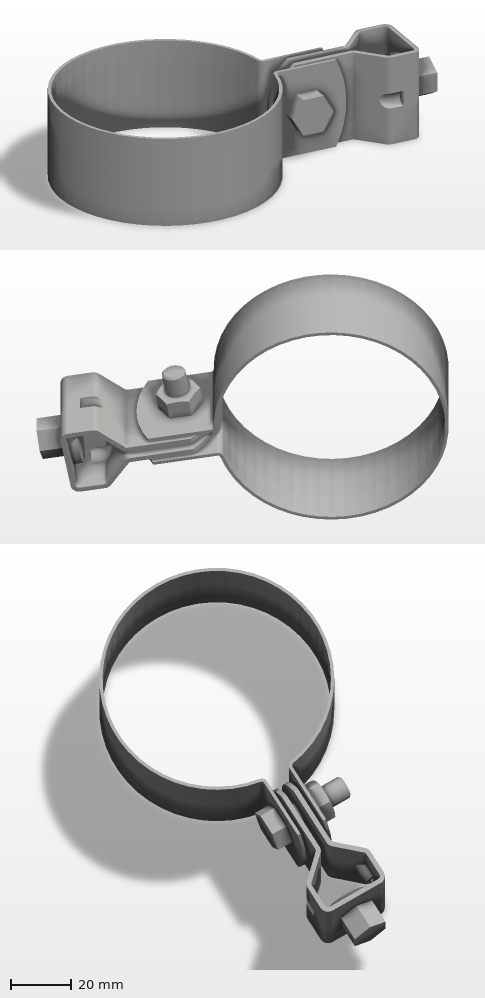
import cadquery as cq
import math

width = 32.0
overall_length = 137.6

ring_radius = 39.1
band_thickness = 1.1
ear_half_span = 5.5
ear_bend = 1.0
ear_end = 64.8
ear_tip_radius = 35.5

fitting_end = overall_length - ring_radius
fitting_hex_length = 8.8
bracket_top = fitting_end - fitting_hex_length
sheet = 1.7
head_half_width = 12.2
leg_half_span = 3.0
shoulder_y = 77.4
taper_angle = 47.0
taper_end_y = shoulder_y - (head_half_width - leg_half_span) / math.tan(math.radians(taper_angle))
head_bend = 2.9
inside_bend = 1.1
outside_bend = inside_bend + sheet
leg_end = 39.5
leg_tip_radius = 20.6

groove_radius = 2.8
tab_radius = 4.5
tab_axis_x = head_half_width + 0.3
tab_start_y = 82.7
tab_end_y = taper_end_y

bolt_y = 49.8
bolt_diameter = 8.0
tip_diameter = 6.6
tip_x = -19.8
bolt_hex_flats = 13.1
nut_height = 6.3
head_height = 5.4
nut_bevel_height = 0.4

fitting_hex_flats = 12.0
neck_diameter = 10.5
flange_diameter = 20.0
flange_thickness = 3.0


def across_corners(flats):
    """Width across corners of a hexagon with the given width across flats."""
    return flats / math.cos(math.radians(30))


def box(x_size, y_start, y_end):
    """Block centred on X and Z that spans y_start to y_end and the full width."""
    return cq.Workplane("XY").box(x_size, y_end - y_start, width).translate((0, (y_start + y_end) / 2, 0))


def fillet_corner(solid, x, y, radius):
    """Round the upright edges at (x, y) and at its mirror image (-x, y)."""
    for side in (-1, 1):
        corner = cq.selectors.NearestToPointSelector((side * x, y, 0))
        solid = solid.edges("|Z").edges(corner).fillet(radius)
    return solid


def hollow(solid, thickness):
    """Remove the inside of an extruded outline, leaving a wall of even thickness."""
    core = solid.faces("<Z").wires().toPending().offset2D(-thickness).extrude(width, combine=False)
    core = core.translate((0, 0, -width / 2 - core.val().BoundingBox().zmin))
    return solid.cut(core)


def cylinder_x(diameter, x_start, x_end):
    """Cylinder on the bolt axis."""
    plane = cq.Workplane("YZ", origin=(x_start, bolt_y, 0))
    return plane.circle(diameter / 2).extrude(x_end - x_start)


def rounded_end(y_tip, radius, direction):
    """Disc along X whose rim passes through y_tip; direction is +1 or -1, the way the tip points."""
    centre_y = y_tip - direction * radius
    plane = cq.Workplane("YZ", origin=(0, centre_y, 0))
    return plane.circle(radius).extrude(2 * head_half_width, both=True)


def bolt_hexagon(x_start, x_end):
    """Hexagonal prism on the bolt axis, with flats facing up and down."""
    plane = cq.Workplane("YZ", origin=(x_start, bolt_y, 0))
    return plane.polygon(6, across_corners(bolt_hex_flats)).extrude(x_end - x_start)


def fitting_cylinder(diameter, y_top, length):
    """Cylinder on the fitting axis, from y_top downwards along Y."""
    return cq.Workplane("XZ", origin=(0, y_top, 0)).circle(diameter / 2).extrude(length)


def make_band():
    ring = cq.Workplane("XY").circle(ring_radius).extrude(width / 2, both=True)
    ears = box(2 * ear_half_span, 0, ear_end + band_thickness)
    junction_y = math.sqrt(ring_radius**2 - ear_half_span**2)
    outline = fillet_corner(ring.union(ears), ear_half_span, junction_y, ear_bend)
    band = hollow(outline, band_thickness)
    ear_zone = box(2 * ear_half_span, ring_radius, ear_end + band_thickness)
    tips = ear_zone.cut(rounded_end(ear_end, ear_tip_radius, 1))
    hole = cylinder_x(bolt_diameter, -ear_half_span, ear_half_span)
    return band.cut(tips).cut(hole)


def bracket_outline():
    """Solid outline of the bracket, longer than its legs by an end wall that the tip rounding removes."""
    half = [
        (head_half_width, bracket_top),
        (head_half_width, shoulder_y),
        (leg_half_span, taper_end_y),
        (leg_half_span, leg_end - sheet),
    ]
    mirrored = [(-x, y) for x, y in reversed(half)]
    outline = cq.Workplane("XY").polyline(half + mirrored).close().extrude(width / 2, both=True)
    bends = [
        (head_half_width, bracket_top, head_bend),
        (head_half_width, shoulder_y, outside_bend),
        (leg_half_span, taper_end_y, inside_bend),
    ]
    for x, y, radius in bends:
        outline = fillet_corner(outline, x, y, radius)
    return outline


def make_bracket():
    outline = bracket_outline()
    bracket = hollow(outline, sheet)
    for side in (-1, 1):
        plane = cq.Workplane("XZ", origin=(side * tab_axis_x, tab_start_y, 0))
        tab = plane.circle(tab_radius).extrude(tab_start_y - tab_end_y).intersect(outline)
        groove = plane.circle(groove_radius).extrude(tab_start_y - tab_end_y)
        bracket = bracket.union(tab).cut(groove)
    leg_zone = box(2 * leg_half_span, leg_end - sheet, bolt_y)
    tips = leg_zone.cut(rounded_end(leg_end, leg_tip_radius, -1))
    bolt_hole = cylinder_x(bolt_diameter, -leg_half_span, leg_half_span)
    neck_hole = fitting_cylinder(neck_diameter, bracket_top, sheet)
    flange_seat = fitting_cylinder(flange_diameter, bracket_top - sheet, flange_thickness)
    return bracket.cut(tips).cut(bolt_hole).cut(neck_hole).cut(flange_seat)


def make_bolt():
    shank = cylinder_x(bolt_diameter, tip_x, ear_half_span)
    shank = shank.faces("<X").chamfer((bolt_diameter - tip_diameter) / 2)
    return shank.union(bolt_hexagon(ear_half_span, ear_half_span + head_height))


def make_nut():
    seat_x = -ear_half_span
    free_x = seat_x - nut_height
    corner_radius = across_corners(bolt_hex_flats) / 2
    half_profile = [
        (seat_x, 0),
        (seat_x, corner_radius),
        (free_x + nut_bevel_height, corner_radius),
        (free_x, bolt_hex_flats / 2),
        (free_x, 0),
    ]
    envelope = cq.Workplane("XY").polyline(half_profile).close().revolve(360, (0, 0, 0), (1, 0, 0))
    nut = bolt_hexagon(free_x, seat_x).intersect(envelope.translate((0, bolt_y, 0)))
    return nut.cut(cylinder_x(bolt_diameter, free_x, seat_x))


def make_fitting():
    corners = across_corners(fitting_hex_flats)
    seat = cq.Workplane("XZ", origin=(0, bracket_top, 0)).transformed(rotate=(0, 0, 90))
    hexagonal_end = seat.polygon(6, corners).extrude(-fitting_hex_length)
    neck = fitting_cylinder(neck_diameter, bracket_top, sheet)
    flange = fitting_cylinder(flange_diameter, bracket_top - sheet, flange_thickness)
    return hexagonal_end.union(neck).union(flange)


band = make_band()
bracket = make_bracket()
bolt = make_bolt()
nut = make_nut()
fitting = make_fitting()

result = cq.Compound.makeCompound([band.val(), bracket.val(), bolt.val(), nut.val(), fitting.val()])